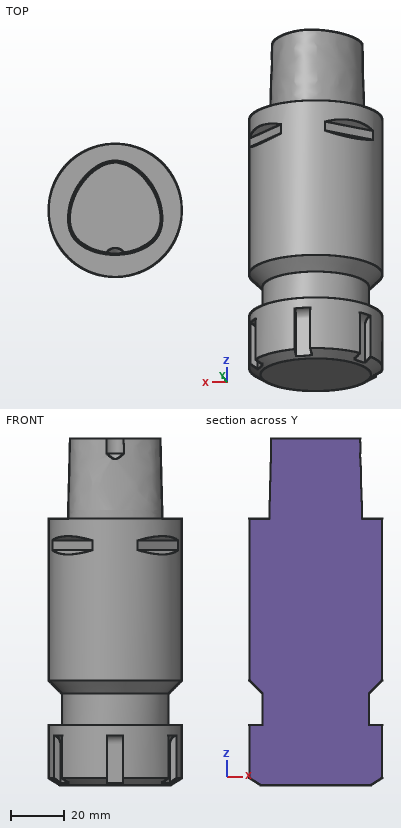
import cadquery as cq
import math

total_height = 130.0
body_diameter = 50.0
body_radius = body_diameter / 2
neck_radius = 40.0 / 2

nut_height = 22.6
nut_chamfer_height = 2.7
nut_chamfer_width = 4.3

shank_height = 30.0
shank_straight_height = 3.1
shank_base_diameter = 35.4
shank_taper = 1 / 20
shank_lobe = 2.0
outline_points = 48

notch_radius = 3.8
notch_depth = 2.0
notch_height = 5.6

groove_count = 4
groove_floor_distance = 22.6
groove_floor_height = 3.5
groove_flare = 1.7
groove_drop = 10.0
groove_start_angle = 45

slot_count = 6
slot_width = 6.0
slot_floor_distance = 22.0
slot_end_radius = 3.2
slot_top_margin = 3.9
slot_start_angle = 90

cone_height = body_radius - neck_radius
cone_bottom = 34.3
flange_height = total_height - shank_height
slot_top = nut_height - slot_top_margin
cut_clearance = 1.3


def revolved_body():
    """Nut, neck, 45 degree cone and cylindrical body in one profile."""
    return (
        cq.Workplane("XZ")
        .lineTo(body_radius - nut_chamfer_width, 0)
        .lineTo(body_radius, nut_chamfer_height)
        .lineTo(body_radius, nut_height)
        .lineTo(neck_radius, nut_height)
        .lineTo(neck_radius, cone_bottom)
        .lineTo(body_radius, cone_bottom + cone_height)
        .lineTo(body_radius, flange_height)
        .lineTo(0, flange_height)
        .close()
        .revolve(360, (0, 0), (0, 1))
    )


def lobed_wire(diameter, height):
    """Three-lobed trochoid with one lobe toward +Y and a flat side toward -Y."""

    def point(angle):
        along = (
            diameter / 2 * math.cos(angle)
            - shank_lobe * math.cos(2 * angle)
            + shank_lobe / 2 * math.cos(4 * angle)
        )
        across = (
            diameter / 2 * math.sin(angle)
            + shank_lobe * math.sin(2 * angle)
            + shank_lobe / 2 * math.sin(4 * angle)
        )
        return cq.Vector(across, -along, height)

    angles = [2 * math.pi * index / outline_points for index in range(outline_points)]
    outline = cq.Edge.makeSpline([point(angle) for angle in angles], periodic=True)
    return cq.Wire.assembleEdges([outline])


def shank():
    """Straight lobed foot below a tapered lobed shank."""
    taper_start = flange_height + shank_straight_height
    top_diameter = shank_base_diameter - shank_taper * (total_height - taper_start)
    base = lobed_wire(shank_base_diameter, flange_height)
    middle = lobed_wire(shank_base_diameter, taper_start)
    top = lobed_wire(top_diameter, total_height)
    foot = cq.Solid.extrudeLinear(base, [], cq.Vector(0, 0, shank_straight_height))
    taper = cq.Solid.makeLoft([middle, top], True)
    return cq.Workplane(foot).union(cq.Workplane(taper))


def drive_notch():
    """Vertical round notch ending in a 45 degree drill point."""
    top_diameter = shank_base_diameter - shank_taper * (shank_height - shank_straight_height)
    flat_distance = (top_diameter - shank_lobe) / 2
    axis_y = notch_radius - notch_depth + flat_distance
    notch_bottom = total_height - notch_height
    return (
        cq.Workplane("XZ", origin=(0, -axis_y, 0))
        .moveTo(0, notch_bottom - notch_radius)
        .lineTo(notch_radius, notch_bottom)
        .lineTo(notch_radius, total_height + cut_clearance)
        .lineTo(0, total_height + cut_clearance)
        .close()
        .revolve(360, (0, 0), (0, 1))
    )


def gripper_groove():
    """Flat-bottomed groove on the +X side, flaring outward to the body surface."""
    middle = flange_height - groove_drop
    inner_half = groove_floor_height / 2
    outer_half = inner_half + groove_flare
    return (
        cq.Workplane("XZ")
        .moveTo(groove_floor_distance, middle - inner_half)
        .lineTo(body_radius, middle - outer_half)
        .lineTo(body_radius, middle + outer_half)
        .lineTo(groove_floor_distance, middle + inner_half)
        .close()
        .extrude(body_radius, both=True)
    )


def wrench_slot():
    """Open-bottomed slot on the +X side whose floor curves out at its upper end."""
    outer = slot_floor_distance + slot_end_radius
    arc_start = slot_top - slot_end_radius
    arc_inset = slot_end_radius * (1 - math.sqrt(0.5))
    return (
        cq.Workplane("XZ")
        .moveTo(slot_floor_distance, -cut_clearance)
        .lineTo(slot_floor_distance, arc_start)
        .threePointArc((slot_floor_distance + arc_inset, slot_top - arc_inset), (outer, slot_top))
        .lineTo(outer, -cut_clearance)
        .close()
        .extrude(slot_width / 2, both=True)
    )


result = revolved_body().union(shank()).cut(drive_notch())

for index in range(groove_count):
    groove_angle = groove_start_angle + index * 360 / groove_count
    result = result.cut(gripper_groove().rotate((0, 0, 0), (0, 0, 1), groove_angle))

for index in range(slot_count):
    slot_angle = slot_start_angle + index * 360 / slot_count
    result = result.cut(wrench_slot().rotate((0, 0, 0), (0, 0, 1), slot_angle))